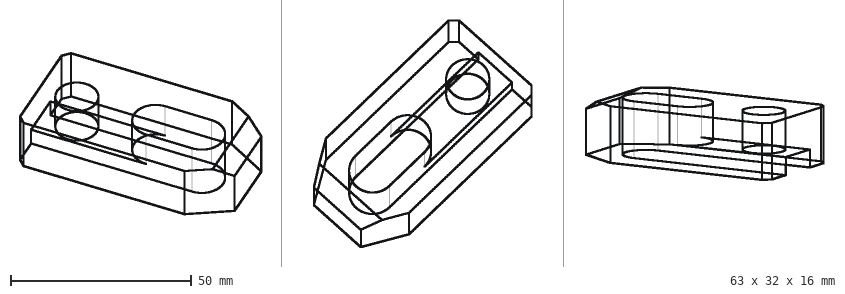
import cadquery as cq
import math

length = 63.0
width = 32.0
height = 16.0
rear_chamfer = 2.0

nose_angle = math.radians(30)
nose_side_length = 12.05
nose_side_inset = nose_side_length * math.tan(nose_angle)
nose_top_length = 5.3
nose_top_drop = nose_top_length * math.tan(nose_angle)

hole_diameter = 12.0
hole_x = 10.95
slot_width = 13.0
slot_length = 27.0
slot_front_x = 55.45
slot_x = slot_front_x - slot_length / 2
groove_depth = 5.1


def make_body():
    half_width = width / 2
    outline = [
        (0, half_width - rear_chamfer),
        (rear_chamfer, half_width),
        (length - nose_side_length, half_width),
        (length, half_width - nose_side_inset),
    ]
    mirrored = [(x, -y) for x, y in reversed(outline)]
    return cq.Workplane("XY").polyline(outline + mirrored).close().extrude(height)


def make_nose_bevel():
    """Wedge removed from the top edge of the nose."""
    corners = [
        (length - nose_top_length, height),
        (length, height),
        (length, height - nose_top_drop),
    ]
    return cq.Workplane("XZ").polyline(corners).close().extrude(width / 2, both=True)


def make_hole():
    return cq.Workplane("XY").center(hole_x, 0).circle(hole_diameter / 2).extrude(height)


def make_slot():
    return cq.Workplane("XY").center(slot_x, 0).slot2D(slot_length, slot_width).extrude(height)


def make_groove():
    """Bottom channel from the rear end, running out inside the slot."""
    return cq.Workplane("XY").box(slot_x, slot_width, groove_depth, centered=(False, True, False))


result = (
    make_body()
    .cut(make_nose_bevel())
    .cut(make_hole())
    .cut(make_slot())
    .cut(make_groove())
)